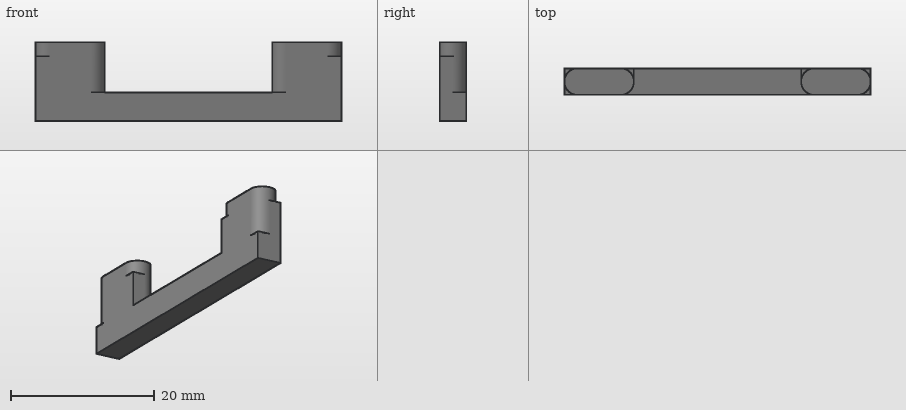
import cadquery as cq

length = 42.7
thickness = 3.7
height = 11.0
bar_height = 4.0
post_length = 9.7
shoulder_drop = 1.95

end_radius = thickness / 2
post_height = height - bar_height
shoulder_height = post_height - shoulder_drop
post_offset = (length - post_length) / 2


def corner_block(x_center, y_center):
    """Square quarter that fills one rounded post corner up to the shoulder."""
    return (
        cq.Workplane("XY", origin=(x_center, y_center, bar_height))
        .box(end_radius, end_radius, shoulder_height, centered=(True, True, False))
    )


def post(side):
    """Round-ended post at the -X (side=-1) or +X (side=1) end, with its two shoulders."""
    center = side * post_offset
    body = (
        cq.Workplane("XY", origin=(center, 0, bar_height))
        .slot2D(post_length, thickness)
        .extrude(post_height)
    )
    corner_reach = side * (post_length - end_radius) / 2
    outer_shoulder = corner_block(center + corner_reach, -end_radius / 2)
    inner_shoulder = corner_block(center - corner_reach, end_radius / 2)
    return body.union(outer_shoulder).union(inner_shoulder)


bar = cq.Workplane("XY").box(length, thickness, bar_height, centered=(True, True, False))

result = bar.union(post(-1)).union(post(1))